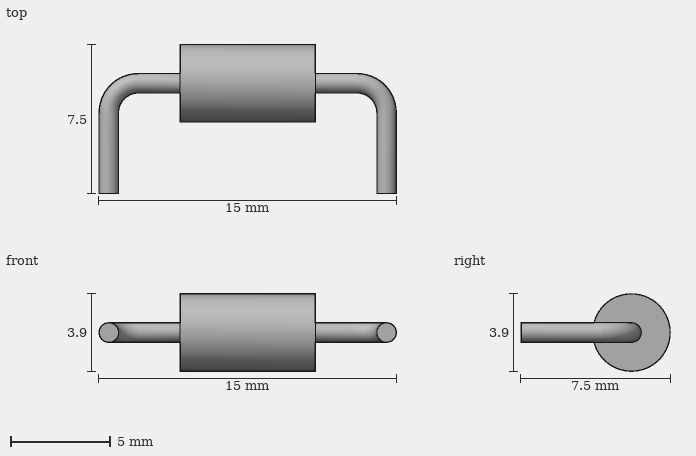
import cadquery as cq

overall_width = 14.95
body_diameter = 3.9
body_length = 6.8
lead_diameter = 0.99
lead_reach = 5.55

lead_offset = (overall_width - lead_diameter) / 2
bend_radius = 1.5 * lead_diameter


def make_body():
    """Plain cylindrical body."""
    end_plane = cq.Workplane("YZ").workplane(offset=-body_length / 2)
    return end_plane.circle(body_diameter / 2).extrude(body_length)


def make_leads():
    """One round wire through the body axis, bent toward -Y at both ends."""
    bend_start = lead_offset - bend_radius
    centreline = (
        cq.Workplane("XY")
        .moveTo(-lead_offset, -lead_reach)
        .lineTo(-lead_offset, -bend_radius)
        .tangentArcPoint((-bend_start, 0), relative=False)
        .lineTo(bend_start, 0)
        .tangentArcPoint((lead_offset, -bend_radius), relative=False)
        .lineTo(lead_offset, -lead_reach)
    )
    tip_plane = cq.Workplane("XZ", origin=(-lead_offset, -lead_reach, 0))
    return tip_plane.circle(lead_diameter / 2).sweep(centreline)


result = make_body().union(make_leads())